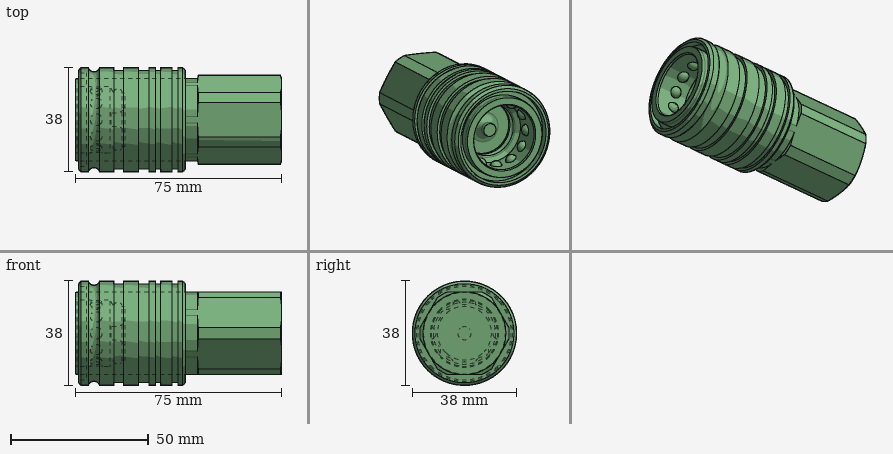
import cadquery as cq
import math


total_length = 75.0

sleeve_start = 1.1
sleeve_end = 40.0
sleeve_radius = 19.0
sleeve_chamfer = 1.0
waist_start = 4.7
waist_end = 8.8
waist_radius = 17.5
grip_grooves = [(14.05, 17.5), (23.0, 26.7), (29.2, 31.0), (35.2, 37.3)]
grip_groove_depth = 1.0
mouth_radius = 17.0
mouth_end = 4.0

body_radius = 15.05
nose_radius = 14.85
nose_taper_length = 1.2
hex_across_flats = 30.0
hex_corner_radius = 16.25
neck_end = 44.45
hex_front_chamfer = 0.25
hex_rear_chamfer = 0.45

bore_radius = 12.05
bore_chamfer_depth = 0.35
bore_chamfer_length = 0.65
bore_end = 12.6
seat_radius = 10.3
seat_length = 1.0
lip_radius = 9.8
lip_length = 0.4
seal_groove_radius = 1.5
socket_floor = 18.0
stem_radius = 2.4
stem_fillet = 3.1
stem_length = 5.0

ball_count = 12
ball_radius = 2.25
ball_position = 7.6
ball_circle_radius = 12.6


def revolve_about_x(profile):
    """Turn a closed profile, drawn as (position along X, radius), about the X axis."""
    return profile.close().revolve(360, (0, 0, 0), (1, 0, 0))


def ring(start, end, inner_radius, outer_radius):
    """Plain ring around the X axis."""
    disc = cq.Workplane("YZ", origin=(start, 0, 0)).circle(outer_radius)
    return disc.circle(inner_radius).extrude(end - start)


def make_sleeve():
    waist_middle = (waist_start + waist_end) / 2
    profile = (
        cq.Workplane("XY")
        .moveTo(sleeve_start, mouth_radius)
        .lineTo(sleeve_start, sleeve_radius - sleeve_chamfer)
        .lineTo(sleeve_start + sleeve_chamfer, sleeve_radius)
        .lineTo(waist_start, sleeve_radius)
        .threePointArc((waist_middle, waist_radius), (waist_end, sleeve_radius))
        .lineTo(sleeve_end - sleeve_chamfer, sleeve_radius)
        .lineTo(sleeve_end, sleeve_radius - sleeve_chamfer)
        .lineTo(sleeve_end, body_radius)
        .lineTo(mouth_end, body_radius)
        .lineTo(mouth_end, mouth_radius)
    )
    sleeve = revolve_about_x(profile)
    for start, end in grip_grooves:
        floor_radius = sleeve_radius - grip_groove_depth
        sleeve = sleeve.cut(ring(start, end, floor_radius, sleeve_radius))
    return sleeve


def make_outer_blank():
    """Solid turned shape of the socket body, before the flats and the socket are cut."""
    profile = (
        cq.Workplane("XY")
        .lineTo(0, nose_radius)
        .lineTo(nose_taper_length, body_radius)
        .lineTo(neck_end, body_radius)
        .lineTo(neck_end + hex_front_chamfer, hex_corner_radius)
        .lineTo(total_length - hex_rear_chamfer, hex_corner_radius)
        .lineTo(total_length, body_radius)
        .lineTo(total_length, 0)
    )
    return revolve_about_x(profile)


def cut_hex_flats(blank):
    """Cut six flats behind the sleeve, two of them facing up and down."""
    flat_length = total_length - sleeve_end
    across_corners = hex_across_flats / math.cos(math.pi / 6)
    outside = (
        cq.Workplane("YZ", origin=(sleeve_end, 0, 0))
        .circle(sleeve_radius)
        .polygon(6, across_corners)
        .extrude(flat_length)
    )
    return blank.cut(outside)


def make_socket():
    """Space inside the body: bore, seat, lip and half-round groove, around a central stem."""
    seat_end = bore_end + seat_length
    lip_end = seat_end + lip_length
    groove_end = lip_end + 2 * seal_groove_radius
    groove_bottom = (lip_end + seal_groove_radius, lip_radius + seal_groove_radius)
    stem_base = socket_floor - stem_fillet
    fillet_offset = stem_fillet * (1 - math.cos(math.pi / 4))
    profile = (
        cq.Workplane("XY")
        .lineTo(0, bore_radius + bore_chamfer_depth)
        .lineTo(bore_chamfer_length, bore_radius)
        .lineTo(bore_end, bore_radius)
        .lineTo(seat_end, seat_radius)
        .lineTo(lip_end, lip_radius)
        .threePointArc(groove_bottom, (groove_end, lip_radius))
        .lineTo(socket_floor, lip_radius)
        .lineTo(socket_floor, stem_radius + stem_fillet)
        .threePointArc(
            (socket_floor - fillet_offset, stem_radius + fillet_offset),
            (stem_base, stem_radius),
        )
        .lineTo(socket_floor - stem_length, stem_radius)
        .lineTo(socket_floor - stem_length, 0)
    )
    return revolve_about_x(profile)


def add_locking_balls(body):
    """Add the ring of balls that stand proud of the bore wall."""
    for index in range(ball_count):
        angle = 2 * math.pi * index / ball_count
        center = (
            ball_position,
            ball_circle_radius * math.cos(angle),
            ball_circle_radius * math.sin(angle),
        )
        body = body.union(cq.Workplane("XY").sphere(ball_radius).translate(center))
    return body


sleeve = make_sleeve()
socket_body = add_locking_balls(cut_hex_flats(make_outer_blank()).cut(make_socket()))

result = cq.Compound.makeCompound([sleeve.val(), socket_body.val()])